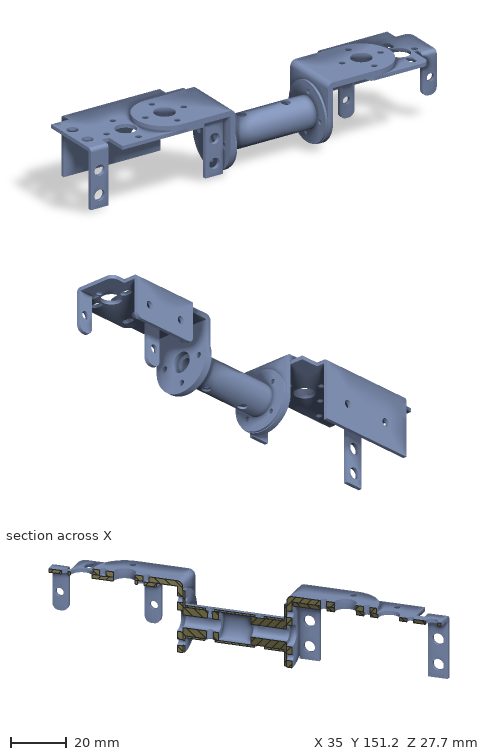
import cadquery as cq
import math


tube_length = 38.1
tube_radius = 6.4
tube_bore_radius = 5.5
tube_hole_diameter = 3.6
tube_hole_offset = 9.5
tube_turn = 3.5

flange_radius = 12.0
flange_thickness = 0.9
plug_length = 12.9
hub_bore_diameter = 4.8
cross_pin_diameter = 2.4
flange_screw_diameter = 2.0
rear_hub_turn = 6.5
front_hub_turn = 41.0

angle_thickness = 2.3
angle_radius = 12.2
axis_to_top = 15.5
foot_y = tube_length / 2 + flange_thickness
angle_centre_y = 42.5

horn_hole_diameter = 8.2
horn_screw_diameter = 2.4
horn_screw_radius = 8.3

sheet = 1.5
sheet_top = axis_to_top - angle_thickness
horn_spacing = 16.6

front_centre_y = -51.0
front_length = 57.2
front_tab_length = 7.7
front_wall_x = -22.8
front_plate_left = -17.8
front_plate_right = 12.0
front_tab_x = 7.9
front_notch_x = 3.2
front_notch_width = 3.2
front_bottom = -11.0
mount_hole_diameter = 4.4
mount_hole_pitch = 9.8
front_mount_inset = 3.8
front_mount_top_z = 3.8
front_wall_hole_diameter = 3.2
front_wall_hole_pitch = 19.8
front_wall_hole_z = -1.2

rear_centre_y = 50.8
rear_length = 41.7
rear_tab_length = 6.2
rear_wall_x = -18.8
rear_plate_left = -12.2
rear_plate_right = 12.2
rear_tab_x = 5.1
rear_notch_x = 1.7
rear_notch_width = 1.7
rear_bottom = -4.1
rear_corner_radius = 2.5
slot_length = 4.8
slot_width = 2.7
slot_centre_x = 7.3
end_screw_offset = 14.7
side_hole_diameter = 3.2
side_hole_z = 2.9
rear_wall_hole_pitch = 16.3
rear_tab_hole_pitch = 36.3


def horn_screw_points(centre=0):
    """Four screw points around a horn hole, whose second coordinate is centre."""
    r = horn_screw_radius
    return [(r, centre), (-r, centre), (0, centre + r), (0, centre - r)]


def drill_z(body, diameter, points):
    """Drill vertical holes, at (X, Y) points, through a whole body."""
    reach = 2 * axis_to_top
    tool = cq.Workplane("XY").pushPoints(points).circle(diameter / 2)
    return body.cut(tool.extrude(reach, both=True))


def drill_y(body, diameter, points):
    """Drill holes along Y, at (X, Z) points, through a whole body."""
    reach = 2 * angle_centre_y
    tool = cq.Workplane("XZ").pushPoints(points).circle(diameter / 2)
    return body.cut(tool.extrude(reach, both=True))


def drill_walls(body, diameter, points):
    """Drill holes along X, at (Y, Z) points, through the walls of a servo bracket."""
    reach = 2 * abs(front_wall_x)
    tool = cq.Workplane("YZ").pushPoints(points).circle(diameter / 2)
    return body.cut(tool.extrude(reach, both=True))


def make_tube():
    ring = cq.Workplane("XZ").circle(tube_radius).circle(tube_bore_radius)
    tube = ring.extrude(tube_length / 2, both=True)
    tube = drill_z(tube, tube_hole_diameter, [(0, tube_hole_offset), (0, -tube_hole_offset)])
    return tube.rotate((0, 0, 0), (0, 1, 0), tube_turn)


def make_hub(turn):
    """Hub for the +Y tube end, turned about the tube axis."""
    tube_end = cq.Workplane("XZ", origin=(0, tube_length / 2, 0))
    hub = tube_end.circle(flange_radius).extrude(-flange_thickness)
    hub = hub.union(tube_end.circle(tube_bore_radius).extrude(plug_length))
    hub = drill_y(hub, hub_bore_diameter, [(0, 0)])
    hub = drill_y(hub, flange_screw_diameter, horn_screw_points())
    hub = drill_z(hub, cross_pin_diameter, [(0, tube_hole_offset)])
    return hub.rotate((0, 0, 0), (0, 1, 0), turn)


def make_angle():
    """Angle for the +Y tube end: an upright leg on the hub and a level leg pointing to +Y."""
    width = 2 * angle_radius
    level_length = angle_centre_y - foot_y
    upright = cq.Workplane("XZ", origin=(0, foot_y, 0)).circle(angle_radius).extrude(-angle_thickness)
    upright = upright.union(
        cq.Workplane("XY").box(width, angle_thickness, axis_to_top, centered=(True, False, False))
        .translate((0, foot_y, 0))
    )
    level = cq.Workplane("XY").center(0, angle_centre_y).circle(angle_radius).extrude(angle_thickness)
    level = level.union(
        cq.Workplane("XY").box(width, level_length, angle_thickness, centered=(True, False, False))
        .translate((0, foot_y, 0))
    ).translate((0, 0, sheet_top))
    angle = upright.union(level)
    bend = cq.selectors.NearestToPointSelector((0, foot_y, axis_to_top))
    angle = angle.edges(bend).fillet(angle_thickness)
    angle = drill_y(angle, horn_hole_diameter, [(0, 0)])
    angle = drill_y(angle, horn_screw_diameter, horn_screw_points())
    angle = drill_z(angle, horn_hole_diameter, [(0, angle_centre_y)])
    return drill_z(angle, horn_screw_diameter, horn_screw_points(angle_centre_y))


def folded_wall(outer_x, inner_x, centre_y, width, bottom, corner_radius):
    """Strip of sheet from inner_x to outer_x, bent down there to the bottom level."""
    inward = 1 if inner_x > outer_x else -1
    wall_x = outer_x + inward * sheet
    arc_inset = sheet * (1 - math.sqrt(0.5))
    wall = (
        cq.Workplane("XZ", origin=(0, centre_y, 0))
        .moveTo(outer_x, bottom)
        .lineTo(outer_x, sheet_top - sheet)
        .threePointArc((outer_x + inward * arc_inset, sheet_top - arc_inset), (wall_x, sheet_top))
        .lineTo(inner_x, sheet_top)
        .lineTo(inner_x, sheet_top - sheet)
        .lineTo(wall_x, sheet_top - sheet)
        .lineTo(wall_x, bottom)
        .close()
        .extrude(width / 2, both=True)
    )
    if corner_radius:
        wall = wall.faces("<Z").edges("|X").fillet(corner_radius)
    return wall


def servo_bracket_blank(
    length, tab_length, wall_x, plate_left, plate_right,
    tab_x, notch_x, notch_width, bottom, corner_radius=0,
):
    """Flat plate with one wide wall on the -X side and a narrow tab at each end of the +X side."""
    half = length / 2
    plate_half = half - tab_length - notch_width
    plate_base = cq.Workplane("XY").workplane(offset=sheet_top - sheet)
    middle = plate_base.center((plate_left + plate_right) / 2, 0)
    middle = middle.rect(plate_right - plate_left, 2 * plate_half).extrude(sheet)
    spine = plate_base.center((plate_left + notch_x) / 2, 0)
    spine = spine.rect(notch_x - plate_left, length).extrude(sheet)
    if corner_radius:
        middle = middle.edges("|Z and >X").fillet(corner_radius)
        spine = spine.edges("|Z and <X").fillet(corner_radius)
    bracket = middle.union(spine)
    wall_width = length - 2 * tab_length
    bracket = bracket.union(folded_wall(wall_x, plate_left, 0, wall_width, bottom, corner_radius))
    for end in (1, -1):
        tab_y = end * (half - tab_length / 2)
        bracket = bracket.union(folded_wall(tab_x, notch_x, tab_y, tab_length, bottom, corner_radius))
    return bracket


def make_front_servo_bracket():
    bracket = servo_bracket_blank(
        front_length, front_tab_length, front_wall_x, front_plate_left, front_plate_right,
        front_tab_x, front_notch_x, front_notch_width, front_bottom,
    )
    horn_centres = (-horn_spacing / 2, horn_spacing / 2)
    bracket = drill_z(bracket, horn_hole_diameter, [(0, y) for y in horn_centres])
    for y in horn_centres:
        bracket = drill_z(bracket, horn_screw_diameter, horn_screw_points(y))
    mount_y = front_length / 2 - front_mount_inset
    bracket = drill_z(bracket, mount_hole_diameter, [(-mount_hole_pitch, -mount_y), (0, -mount_y)])
    mount_levels = (front_mount_top_z, front_mount_top_z - mount_hole_pitch)
    mount_points = [(y, z) for y in (-mount_y, mount_y) for z in mount_levels]
    bracket = drill_walls(bracket, mount_hole_diameter, mount_points)
    wall_points = [(side * front_wall_hole_pitch / 2, front_wall_hole_z) for side in (1, -1)]
    bracket = drill_walls(bracket, front_wall_hole_diameter, wall_points)
    return bracket.translate((0, front_centre_y, 0))


def make_rear_servo_bracket():
    bracket = servo_bracket_blank(
        rear_length, rear_tab_length, rear_wall_x, rear_plate_left, rear_plate_right,
        rear_tab_x, rear_notch_x, rear_notch_width, rear_bottom, rear_corner_radius,
    )
    horn_centres = (-horn_spacing / 2, horn_spacing / 2)
    bracket = drill_z(bracket, horn_hole_diameter, [(0, y) for y in horn_centres])
    slot_points = [(x, y) for x in (-slot_centre_x, slot_centre_x) for y in horn_centres]
    slots = cq.Workplane("XY").pushPoints(slot_points).slot2D(slot_length, slot_width)
    bracket = bracket.cut(slots.extrude(axis_to_top))
    bracket = drill_z(bracket, horn_screw_diameter, [(0, -end_screw_offset), (0, end_screw_offset)])
    hole_points = [
        (side * pitch / 2, side_hole_z)
        for side in (1, -1)
        for pitch in (rear_wall_hole_pitch, rear_tab_hole_pitch)
    ]
    bracket = drill_walls(bracket, side_hole_diameter, hole_points)
    return bracket.translate((0, rear_centre_y, 0))


tube = make_tube()
hubs = [make_hub(rear_hub_turn), make_hub(front_hub_turn).mirror("XZ")]
angles = [make_angle(), make_angle().mirror("XZ")]
front_servo_bracket = make_front_servo_bracket()
rear_servo_bracket = make_rear_servo_bracket()

result = cq.Compound.makeCompound(
    [tube.val()]
    + [hub.val() for hub in hubs]
    + [angle.val() for angle in angles]
    + [front_servo_bracket.val(), rear_servo_bracket.val()]
)